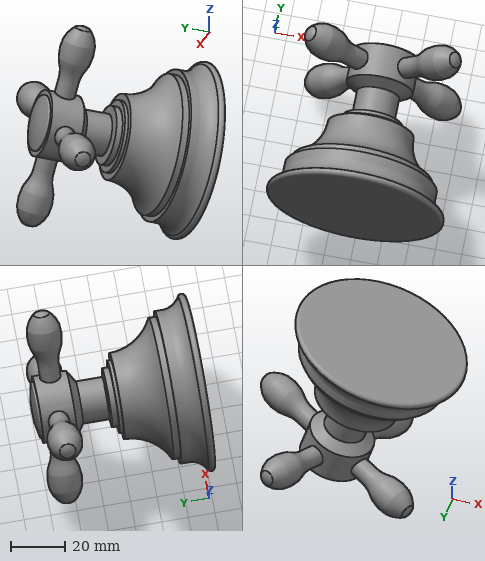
import cadquery as cq


rim_radius = 33.35
rim_height = 2.7
rim_edge_radius = 32.2
flare_radius = 28.7
flare_top = 8.4
flare_arc_radius = 8.0
lower_shoulder = 12.1

band_radius = 26.6
band_top = 14.7
bell_top_radius = 16.3
bell_top = 31.15

collar_radius = 13.7
collar_top = 32.5
ring_radius = 11.15
ring_top = 34.8
neck_radius = 4.95

stem_radius = 8.0
stem_bottom = 35.35
stem_top = 45.3
hub_radius = 12.55
hub_cone_top = 48.2
hub_top = 60.9
cap_radius = 10.6
cap_edge = 0.5
dome_radius = cap_radius - cap_edge
dome_bottom = 61.75
overall_height = 63.15

arm_count = 4
first_arm_angle = 45.0
arm_height = (hub_cone_top + hub_top) / 2

shank_end = (17.9, 3.9)
cove_end = (23.7, 5.2)
swell_radius = 11.35
belly_start = (26.0, 6.0)
belly_middle = (30.0, 6.5)
belly_end = (33.15, 6.15)
shoulder_middle = (36.2, 4.9)
nose_start = (38.6, 2.95)
arm_tip = (39.5, 0.0)


def tangent_arc_radius(along, across):
    """Radius of an arc that leaves its tangent line by `across` after a run of `along`."""
    return (along**2 + across**2) / (2 * across)


def make_base():
    """Flared base with its collar rings, turned about Y."""
    bell_arc_radius = tangent_arc_radius(bell_top - band_top, band_radius - bell_top_radius)
    profile = (
        cq.Workplane("XY")
        .moveTo(0, 0)
        .lineTo(rim_edge_radius, 0)
        .threePointArc((rim_radius, rim_height / 2), (rim_edge_radius, rim_height))
        .radiusArc((flare_radius, flare_top), flare_arc_radius)
        .lineTo(flare_radius, lower_shoulder)
        .lineTo(band_radius, lower_shoulder)
        .lineTo(band_radius, band_top)
        .radiusArc((bell_top_radius, bell_top), bell_arc_radius)
        .lineTo(collar_radius, bell_top)
        .lineTo(collar_radius, collar_top)
        .lineTo(ring_radius, collar_top)
        .lineTo(ring_radius, ring_top)
        .lineTo(0, ring_top)
        .close()
    )
    return profile.revolve(360, (0, 0, 0), (0, 1, 0))


def make_hub():
    """Neck, stem, cone, hub cylinder and domed cap, turned about Y."""
    dome_sphere_radius = tangent_arc_radius(dome_radius, overall_height - dome_bottom)
    profile = (
        cq.Workplane("XY")
        .moveTo(0, collar_top)
        .lineTo(neck_radius, collar_top)
        .lineTo(neck_radius, stem_bottom)
        .lineTo(stem_radius, stem_bottom)
        .lineTo(stem_radius, stem_top)
        .lineTo(hub_radius, hub_cone_top)
        .lineTo(hub_radius, hub_top)
        .lineTo(cap_radius, hub_top)
        .lineTo(cap_radius, dome_bottom - cap_edge)
        .radiusArc((dome_radius, dome_bottom), -cap_edge)
        .radiusArc((0, overall_height), -dome_sphere_radius)
        .close()
    )
    return profile.revolve(360, (0, 0, 0), (0, 1, 0))


def make_arm():
    """One bulb-ended arm along +X, starting on the hub axis."""
    shank_radius = shank_end[1]
    cove_radius = tangent_arc_radius(cove_end[0] - shank_end[0], cove_end[1] - shank_radius)
    nose_radius = tangent_arc_radius(nose_start[1], arm_tip[0] - nose_start[0])
    profile = (
        cq.Workplane("XY")
        .moveTo(0, 0)
        .lineTo(0, shank_radius)
        .lineTo(*shank_end)
        .radiusArc(cove_end, -cove_radius)
        .radiusArc(belly_start, swell_radius)
        .threePointArc(belly_middle, belly_end)
        .threePointArc(shoulder_middle, nose_start)
        .radiusArc(arm_tip, nose_radius)
        .close()
    )
    arm = profile.revolve(360, (0, 0, 0), (1, 0, 0))
    return arm.translate((0, arm_height, 0))


result = make_base().union(make_hub())
arm = make_arm()
for index in range(arm_count):
    arm_angle = first_arm_angle + index * 360 / arm_count
    result = result.union(arm.rotate((0, 0, 0), (0, 1, 0), arm_angle))